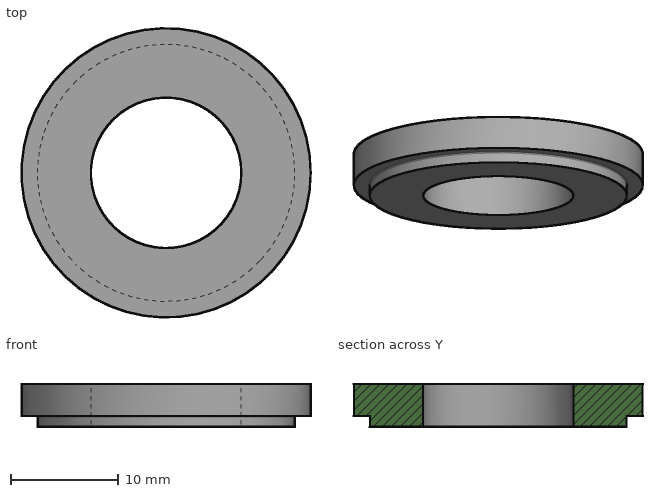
import cadquery as cq

flange_diameter = 27.0
spigot_diameter = 24.0
bore_diameter = 14.0
total_height = 4.0
spigot_height = 1.0
corner_radius = 0.1

flange_radius = flange_diameter / 2
spigot_radius = spigot_diameter / 2
bore_radius = bore_diameter / 2

section = (
    cq.Workplane("XZ")
    .moveTo(bore_radius, 0)
    .lineTo(spigot_radius, 0)
    .lineTo(spigot_radius, spigot_height - corner_radius)
    .radiusArc((spigot_radius + corner_radius, spigot_height), corner_radius)
    .lineTo(flange_radius, spigot_height)
    .lineTo(flange_radius, total_height)
    .lineTo(bore_radius, total_height)
    .close()
)

result = section.revolve(360, (0, 0, 0), (0, 1, 0))